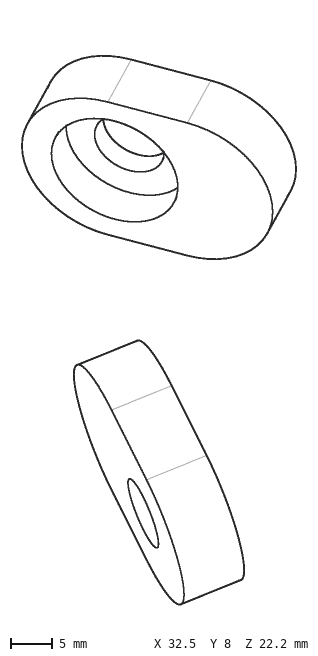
import cadquery as cq

length = 32.5
height = 22.2
thickness = 8.0

hole_x = -4.22
bore_diameter = 9.0
counterbore_diameter = 16.38
counterbore_depth = 5.0

plate = cq.Workplane("XZ").slot2D(length, height).extrude(thickness / 2, both=True)

result = (
    plate.faces("<Y")
    .workplane(origin=(hole_x, 0, 0))
    .cboreHole(bore_diameter, counterbore_diameter, counterbore_depth)
)